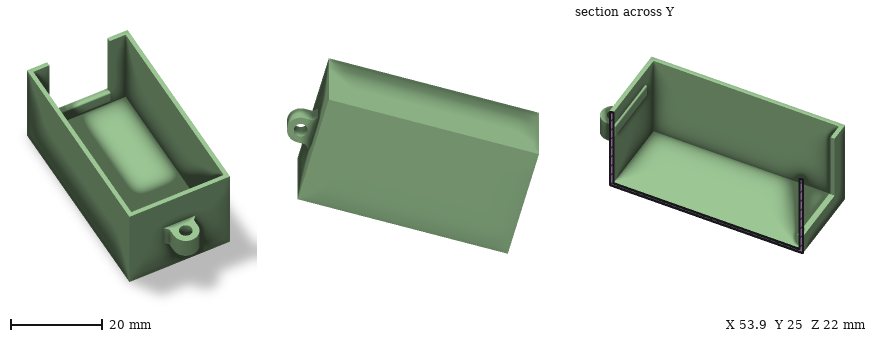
import cadquery as cq

total_length = 53.9
width = 25.0
height = 22.0
wall = 1.0
notch_width = 15.0
sill_height = 5.0

lug_radius = 3.0
hole_diameter = 3.0
lug_thickness = 5.0
lug_center_offset = 2.85
gusset = 0.9

ridge_depth = 0.5
ridge_edge_radius = 0.3
ridge_height = 3.0
back_ridge_drop = 4.0
back_ridge_top = height - back_ridge_drop
front_ridge_top = sill_height

body_length = total_length - lug_center_offset - lug_radius


def make_box():
    """Open-topped box with its outer -X wall at X = 0 and its base at Z = 0."""
    outer = cq.Workplane("XY").box(body_length, width, height, centered=(False, True, False))
    cavity = (
        cq.Workplane("XY")
        .box(body_length - 2 * wall, width - 2 * wall, height, centered=(False, True, False))
        .translate((wall, 0, wall))
    )
    return outer.cut(cavity)


def make_ridge(wall_x, direction, top):
    """Ridge with rounded edges projecting from an end wall in the given X direction."""
    bar = (
        cq.Workplane("XY")
        .box(2 * ridge_depth, notch_width, ridge_height)
        .edges(">X and |Y" if direction > 0 else "<X and |Y")
        .fillet(ridge_edge_radius)
    )
    return bar.translate((wall_x, 0, top - ridge_height / 2))


def make_notch():
    """Finger opening through the -X wall, clear of the cavity floor."""
    return (
        cq.Workplane("XY")
        .box(2 * wall, notch_width, height, centered=(False, True, False))
        .translate((0, 0, sill_height))
    )


def make_lug():
    """Rounded lug with flared root and a vertical hole."""
    center_x = body_length + lug_center_offset
    root_half_width = lug_radius + gusset
    return (
        cq.Workplane("XY")
        .workplane(offset=(height - lug_thickness) / 2)
        .moveTo(body_length, -root_half_width)
        .lineTo(body_length + gusset, -lug_radius)
        .lineTo(center_x, -lug_radius)
        .threePointArc((total_length, 0), (center_x, lug_radius))
        .lineTo(body_length + gusset, lug_radius)
        .lineTo(body_length, root_half_width)
        .close()
        .moveTo(center_x, 0)
        .circle(hole_diameter / 2)
        .extrude(lug_thickness)
    )


box = make_box()
front_ridge = make_ridge(wall, 1, front_ridge_top)
back_ridge = make_ridge(body_length - wall, -1, back_ridge_top)
result = box.union(front_ridge).union(back_ridge).cut(make_notch()).union(make_lug())